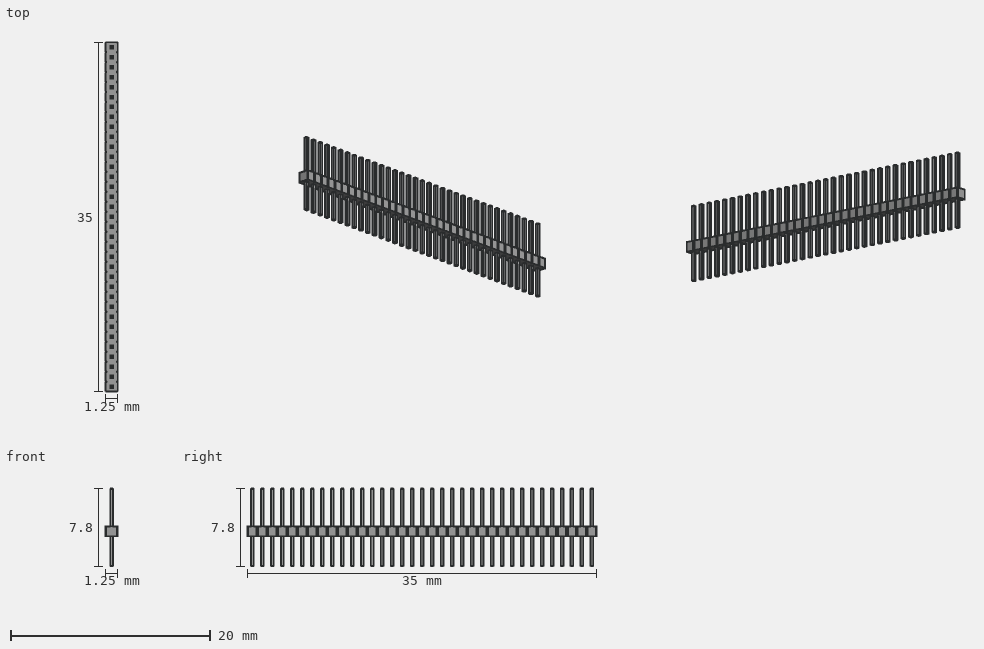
import cadquery as cq

pin_count = 35
row_length = 35.0
pitch = row_length / pin_count

body_width = 1.25
body_height = pitch
corner_cut = 0.1

pin_width = 0.3
pin_chamfer = pin_width / 4
total_height = 7.8
pin_below_body = 3 * pitch

pin_positions = [
    (0, (index - (pin_count - 1) / 2) * pitch)
    for index in range(pin_count)
]


def body_outline():
    """Trace the strip outline, with a V-notch between neighbouring pin positions."""
    half_width = body_width / 2
    waist = half_width - corner_cut
    right_side = []
    for _, center in pin_positions:
        start = center - pitch / 2
        end = center + pitch / 2
        right_side += [
            (waist, start),
            (half_width, start + corner_cut),
            (half_width, end - corner_cut),
        ]
    right_side.append((waist, row_length / 2))
    left_side = [(-x, y) for x, y in reversed(right_side)]
    return right_side + left_side


def make_body():
    return cq.Workplane("XY").polyline(body_outline()).close().extrude(body_height)


def make_pins():
    """Square pins running through the body, chamfered at both ends."""
    return (
        cq.Workplane("XY")
        .workplane(offset=-pin_below_body)
        .pushPoints(pin_positions)
        .rect(pin_width, pin_width)
        .extrude(total_height)
        .faces("|Z")
        .chamfer(pin_chamfer)
    )


result = make_body().union(make_pins())